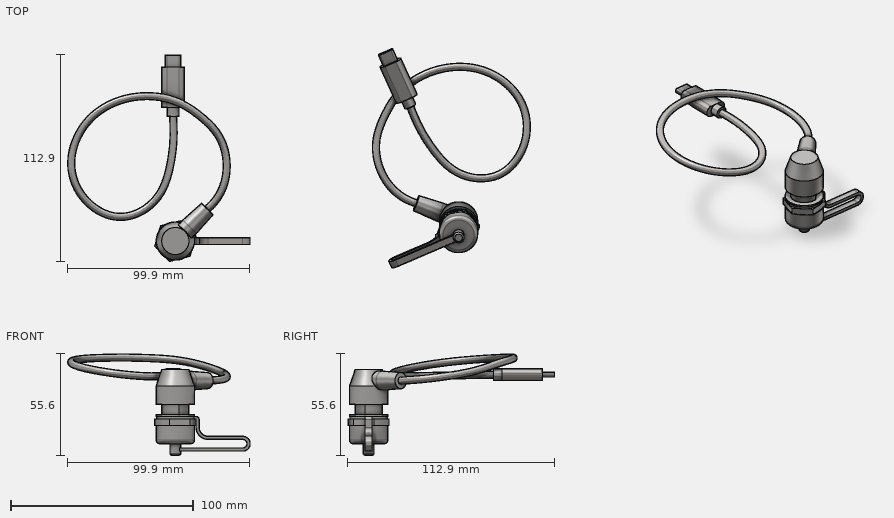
import cadquery as cq
import math


CAP_BOTTOM = 6.4
NUT_BOTTOM = 16.4
NUT_TOP = 20.1
RING_TOP = 21.5
WASHER_TOP = 22.5
HEAD_BOTTOM = 28.0
CONE_BOTTOM = 38.2
HEAD_TOP = 47.1

BODY_DIAMETER = 21.0
NECK_DIAMETER = 14.9
NECK_FLAT_DISTANCE = 6.5
NECK_FLAT_ANGLE = -45
BOOT_HEIGHT = 41.0
BOOT_ANGLE = 45
COLLAR_DIAMETER = 10.5
COLLAR_END = 11.1
BOOT_END_DIAMETER = 8.9
BOOT_END = 24.8

CABLE_DIAMETER = 4.0
PLUG_X = -1.2
PLUG_Z = 44.3
CABLE_EXIT_Y = 68.2
PLUG_BACK_Y = 73.1
PLUG_FRONT_Y = 95.1
TIP_END_Y = 101.7
STRAIN_RELIEF_DIAMETER = 6.5
PLUG_WIDTH = 12.4
TIP_WIDTH = 8.6
TIP_HEIGHT = 2.8
PLUG_FLAT_WIDTH = 6.5
CABLE_LOOP = [
    (28.1, 41.2, 43.3),
    (23.8, 57.4, 46.2),
    (14.5, 67.6, 49.4),
    (2.4, 75.5, 52.0),
    (-16.8, 79.3, 53.4),
    (-46.3, 67.2, 53.2),
    (-56.9, 41.5, 50.9),
    (-48.6, 21.9, 47.7),
    (-30.2, 13.2, 44.6),
    (-14.5, 19.1, 43.4),
    (-7.7, 27.1, 43.5),
    (-2.9, 40.8, 43.7),
    (-1.0, 55.1, 44.0),
]

NUT_CORNER_DIAMETER = 23.3
NUT_TURN = 14

CAP_FILLET = 2.0
KNOB_DIAMETER = 6.0
KNOB_CHAMFER = 0.9
RING_DIAMETER = 20.5
TETHER_WIDTH = 3.8
TETHER_THICKNESS = 1.8
TETHER_DROP_X = 13.1
TETHER_CORNER_RADIUS = 1.8
TETHER_BEND_RADIUS = 4.9
TETHER_LOWER_Z = 2.4
TETHER_UPPER_Z = 10.6
TETHER_END_X = 41.0


def disc(diameter, bottom, top):
    """Upright cylinder on the connector axis."""
    return cq.Workplane("XY").workplane(offset=bottom).circle(diameter / 2).extrude(top - bottom)


def make_head():
    """Cylindrical head with a conical top."""
    profile = [
        (0, HEAD_BOTTOM),
        (BODY_DIAMETER / 2, HEAD_BOTTOM),
        (BODY_DIAMETER / 2, CONE_BOTTOM),
        (NECK_DIAMETER / 2, HEAD_TOP),
        (0, HEAD_TOP),
    ]
    return cq.Workplane("XZ").polyline(profile).close().revolve(360, (0, 0), (0, 1))


def make_neck():
    """Neck with one flat, reaching down through the washer, tether ring and nut."""
    height = HEAD_BOTTOM - NUT_BOTTOM
    flat_cut = cq.Workplane("XY").box(NECK_DIAMETER, NECK_DIAMETER, height, centered=(False, True, False))
    flat_cut = flat_cut.translate((NECK_FLAT_DISTANCE, 0, NUT_BOTTOM))
    flat_cut = flat_cut.rotate((0, 0, 0), (0, 0, 1), NECK_FLAT_ANGLE)
    return disc(NECK_DIAMETER, NUT_BOTTOM, HEAD_BOTTOM).cut(flat_cut)


def make_boot():
    """Sideways collar on the head, followed by a tapered boot."""
    profile = [
        (0, 0),
        (0, COLLAR_DIAMETER / 2),
        (COLLAR_END, COLLAR_DIAMETER / 2),
        (BOOT_END, BOOT_END_DIAMETER / 2),
        (BOOT_END, 0),
    ]
    boot = cq.Workplane("XY").polyline(profile).close().revolve(360, (0, 0), (1, 0))
    return boot.rotate((0, 0, 0), (0, 0, 1), BOOT_ANGLE).translate((0, 0, BOOT_HEIGHT))


def make_cable():
    """Round cable looping from the boot to the plug."""
    angle = math.radians(BOOT_ANGLE)
    boot_direction = cq.Vector(math.cos(angle), math.sin(angle), 0)
    start = boot_direction * BOOT_END + cq.Vector(0, 0, BOOT_HEIGHT)
    end = cq.Vector(PLUG_X, CABLE_EXIT_Y, PLUG_Z)
    points = [start, *[cq.Vector(*point) for point in CABLE_LOOP], end]
    path = cq.Edge.makeSpline(points)
    section = cq.Workplane(cq.Plane(start, normal=path.tangentAt(0))).circle(CABLE_DIAMETER / 2)
    return section.sweep(cq.Workplane(cq.Wire.assembleEdges([path])), isFrenet=False)


def rounded_bar(width, height, back, front):
    """Bar along Y, rounded along its long edges beside a flat of fixed width."""
    bar = cq.Workplane("XY").box(width, front - back, height)
    bar = bar.edges("|Y").fillet((width - PLUG_FLAT_WIDTH) / 2)
    return bar.translate((PLUG_X, (back + front) / 2, PLUG_Z))


def make_plug():
    """USB plug: strain relief, grip and tip."""
    plane = cq.Plane((PLUG_X, CABLE_EXIT_Y, PLUG_Z), normal=(0, 1, 0))
    relief = cq.Workplane(plane).circle(STRAIN_RELIEF_DIAMETER / 2).extrude(PLUG_BACK_Y - CABLE_EXIT_Y)
    grip = rounded_bar(PLUG_WIDTH, STRAIN_RELIEF_DIAMETER, PLUG_BACK_Y, PLUG_FRONT_Y)
    tip = rounded_bar(TIP_WIDTH, TIP_HEIGHT, PLUG_FRONT_Y, TIP_END_Y)
    return relief.union(grip).union(tip)


def make_connector():
    """Connector head with its moulded cable and plug."""
    connector = make_head().union(make_neck()).union(make_boot())
    return connector.union(make_cable()).union(make_plug())


def make_washer(neck):
    """Washer below the panel gap, fitting the neck."""
    return disc(BODY_DIAMETER, RING_TOP, WASHER_TOP).cut(neck)


def make_nut(neck):
    """Hexagonal nut fitting the neck."""
    nut = cq.Workplane("XY").polygon(6, NUT_CORNER_DIAMETER).extrude(NUT_TOP - NUT_BOTTOM)
    nut = nut.rotate((0, 0, 0), (0, 0, 1), NUT_TURN).translate((0, 0, NUT_BOTTOM))
    return nut.cut(neck)


def make_tether():
    """Strip that leaves the ring, drops past the nut and loops back to the knob."""
    inner_x = TETHER_DROP_X - TETHER_THICKNESS
    outer_bend = TETHER_BEND_RADIUS + TETHER_THICKNESS
    bend_x = TETHER_DROP_X + TETHER_BEND_RADIUS
    bend_z = TETHER_UPPER_Z + TETHER_BEND_RADIUS
    outer_loop = (TETHER_UPPER_Z - TETHER_LOWER_Z) / 2
    inner_loop = outer_loop - TETHER_THICKNESS
    loop_x = TETHER_END_X - outer_loop
    loop_z = TETHER_LOWER_Z + outer_loop
    ring_hold_x = (NECK_DIAMETER + RING_DIAMETER) / 4
    diagonal = math.sqrt(0.5)
    corner_x = TETHER_DROP_X - TETHER_CORNER_RADIUS
    corner_z = RING_TOP - TETHER_CORNER_RADIUS
    strip = (
        cq.Workplane("XZ", origin=(0, TETHER_WIDTH / 2, 0))
        .moveTo(ring_hold_x, RING_TOP)
        .lineTo(corner_x, RING_TOP)
        .threePointArc(
            (corner_x + TETHER_CORNER_RADIUS * diagonal, corner_z + TETHER_CORNER_RADIUS * diagonal),
            (TETHER_DROP_X, corner_z),
        )
        .lineTo(TETHER_DROP_X, bend_z)
        .threePointArc(
            (bend_x - TETHER_BEND_RADIUS * diagonal, bend_z - TETHER_BEND_RADIUS * diagonal),
            (bend_x, TETHER_UPPER_Z),
        )
        .lineTo(loop_x, TETHER_UPPER_Z)
        .threePointArc((TETHER_END_X, loop_z), (loop_x, TETHER_LOWER_Z))
        .lineTo(0, TETHER_LOWER_Z)
        .lineTo(0, TETHER_LOWER_Z + TETHER_THICKNESS)
        .lineTo(loop_x, TETHER_LOWER_Z + TETHER_THICKNESS)
        .threePointArc((loop_x + inner_loop, loop_z), (loop_x, loop_z + inner_loop))
        .lineTo(bend_x, loop_z + inner_loop)
        .threePointArc(
            (bend_x - outer_bend * diagonal, bend_z - outer_bend * diagonal),
            (inner_x, bend_z),
        )
        .lineTo(inner_x, NUT_TOP)
        .lineTo(ring_hold_x, NUT_TOP)
        .close()
    )
    return strip.extrude(TETHER_WIDTH)


def make_cap(neck):
    """Dust cap with knob, joined by its tether to a ring held between washer and nut."""
    cup = disc(BODY_DIAMETER, CAP_BOTTOM, NUT_BOTTOM).faces("<Z").edges().fillet(CAP_FILLET)
    knob = disc(KNOB_DIAMETER, 0, CAP_BOTTOM).faces("<Z").edges().chamfer(KNOB_CHAMFER)
    ring = disc(RING_DIAMETER, NUT_TOP, RING_TOP).cut(neck)
    return cup.union(knob).union(make_tether()).union(ring)


neck = make_neck()
connector = make_connector()
washer = make_washer(neck)
nut = make_nut(neck)
cap = make_cap(neck)

result = cq.Compound.makeCompound([connector.val(), washer.val(), nut.val(), cap.val()])